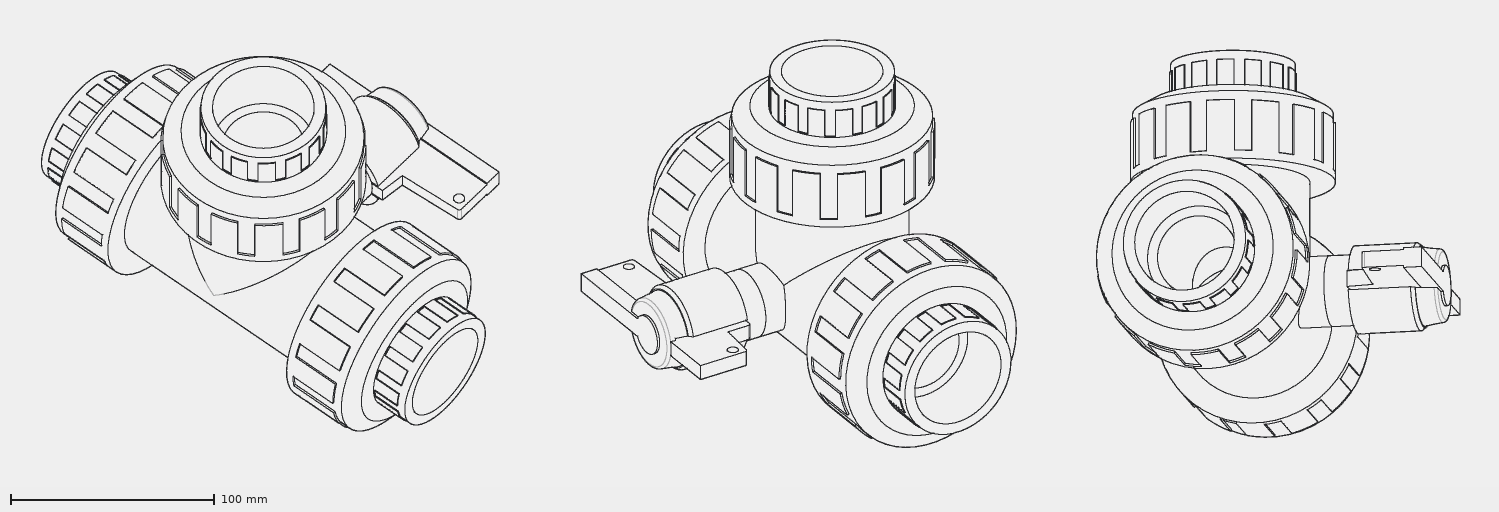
import cadquery as cq
import math

TUBE_DIA = 75.75
BORE_DIA = 40.0
PORT_REACH = 117.0
PORT_ANGLES = (-90, 0, 90)

NUT_DIA = 101.0
NUT_ROOT_DIA = 98.98
NUT_FACE_DIA = 81.0
NUT_START = 57.5
NUT_SLOT_START = 61.7
NUT_RIB_END = 87.3
NUT_CHAMFER_START = 92.0
NUT_END = 97.3

SOCKET_DIA = 62.5
SOCKET_ROOT_DIA = 61.5
SOCKET_BORE_DIA = 50.0
SOCKET_DEPTH = 31.0
SOCKET_COLLAR_WIDTH = 0.6
SOCKET_LIP_WIDTH = 4.5
SOCKET_SLOT_START = NUT_END + SOCKET_COLLAR_WIDTH
SOCKET_RIB_END = PORT_REACH - SOCKET_LIP_WIDTH

RIB_COUNT = 14
RIB_PITCH = 360.0 / RIB_COUNT
RIB_ANGLE = 16.0
RIB_SINK = 1.0
RIB_PHASE = 4.75

BONNET_DIA = 35.0
BONNET_TOP = 49.3
STEM_DIA = 34.98
STEM_TOP = 78.0
KNOB_DIA = 43.5
KNOB_BOTTOM = 62.3
KNOB_CHAMFER_START = 93.6
KNOB_TOP = 95.6
KNOB_TOP_DIA = 40.5
CAP_BASE_DIA = 39.2
CAP_RIM_DIA = 36.4
CAP_RIM_RADIUS = 1.5
CAP_TOP = 106.2
KNOB_SLOT_WIDTH = 10.0
KNOB_SLOT_TOP = 102.0

HANDLE_THICKNESS = 8.0
HANDLE_LEFT = -45.6
HANDLE_RIGHT = 61.0
HANDLE_TOP = 104.7
HANDLE_TIP_BOTTOM = 77.4
HANDLE_ROOT_BOTTOM = 75.6
TAB_LEFT = -24.5
TAB_RIGHT_BOTTOM = 24.0
TAB_RIGHT_TOP = 25.6
HANDLE_CORNER_RADIUS = 1.5
HANDLE_HOLE_DIA = 5.5
HANDLE_HOLE_Y = 83.0
HANDLE_HOLE_XS = (-40.8, 55.9)

RAIL_WIDTH = KNOB_SLOT_WIDTH
RAIL_BOTTOM = 98.4
RAIL_TOP = 107.5

PAD_DIA = 20.0


def cylinder(diameter, start, end):
    """Cylinder on the Z axis between two heights."""
    return cq.Workplane("XY").workplane(offset=start).circle(diameter / 2).extrude(end - start)


def ring(outer_dia, inner_dia, start, end):
    """Plain ring on the Z axis between two heights."""
    return cylinder(outer_dia, start, end).cut(cylinder(inner_dia, start, end))


def rib_sectors(reach, start, end):
    """Wedges about the Z axis, one for each grip rib."""
    half = math.radians(RIB_ANGLE / 2)
    tip = (reach * math.cos(half), reach * math.sin(half))
    wedge = (
        cq.Workplane("XY").workplane(offset=start)
        .polyline([(0, 0), (tip[0], -tip[1]), tip]).close()
        .extrude(end - start)
    )
    sectors = cq.Workplane("XY")
    for index in range(RIB_COUNT):
        angle = RIB_PHASE + index * RIB_PITCH
        sectors = sectors.add(wedge.rotate((0, 0, 0), (0, 0, 1), angle))
    return sectors.combine()


def grip_ribs(outer_dia, root_dia, start, end):
    """Raised ribs standing on a root diameter."""
    band = ring(outer_dia, root_dia - 2 * RIB_SINK, start, end)
    return band.intersect(rib_sectors(outer_dia, start, end))


def make_nut():
    core = (
        cq.Workplane("XZ")
        .moveTo(0, NUT_START)
        .lineTo(NUT_DIA / 2, NUT_START)
        .lineTo(NUT_DIA / 2, NUT_SLOT_START)
        .lineTo(NUT_ROOT_DIA / 2, NUT_SLOT_START)
        .lineTo(NUT_ROOT_DIA / 2, NUT_CHAMFER_START)
        .lineTo(NUT_FACE_DIA / 2, NUT_END)
        .lineTo(0, NUT_END)
        .close()
        .revolve(360, (0, 0, 0), (0, 1, 0))
    )
    return core.union(grip_ribs(NUT_DIA, NUT_ROOT_DIA, NUT_SLOT_START, NUT_RIB_END))


def make_socket():
    collar = cylinder(SOCKET_DIA, NUT_START, SOCKET_SLOT_START)
    core = cylinder(SOCKET_ROOT_DIA, NUT_START, PORT_REACH)
    ribs = grip_ribs(SOCKET_DIA, SOCKET_ROOT_DIA, SOCKET_SLOT_START, SOCKET_RIB_END)
    return core.union(collar).union(ribs)


def to_ports(shape):
    """Copies of a +Z shape at the -X, +Z and +X ports."""
    return [shape.rotate((0, 0, 0), (0, 1, 0), angle) for angle in PORT_ANGLES]


def make_knob():
    """Slotted barrel with a tapered cap, on the +Y axis."""
    rim_start = CAP_TOP - CAP_RIM_RADIUS
    flat_radius = CAP_RIM_DIA / 2 - CAP_RIM_RADIUS
    diagonal = CAP_RIM_RADIUS * math.sqrt(0.5)
    barrel = (
        cq.Workplane("XY")
        .moveTo(0, KNOB_BOTTOM)
        .lineTo(KNOB_DIA / 2, KNOB_BOTTOM)
        .lineTo(KNOB_DIA / 2, KNOB_CHAMFER_START)
        .lineTo(KNOB_TOP_DIA / 2, KNOB_TOP)
        .lineTo(CAP_BASE_DIA / 2, KNOB_TOP)
        .lineTo(CAP_RIM_DIA / 2, rim_start)
        .threePointArc((flat_radius + diagonal, rim_start + diagonal), (flat_radius, CAP_TOP))
        .lineTo(0, CAP_TOP)
        .close()
        .revolve(360, (0, 0, 0), (0, 1, 0))
    )
    slot_height = KNOB_SLOT_TOP - KNOB_BOTTOM
    slot = (
        cq.Workplane("XY")
        .box(KNOB_DIA, slot_height, KNOB_SLOT_WIDTH)
        .translate((0, KNOB_BOTTOM + slot_height / 2, 0))
    )
    return barrel.cut(slot)


def along_y(shape):
    """Turn a +Z shape onto the +Y axis."""
    return shape.rotate((0, 0, 0), (1, 0, 0), -90)


def make_stem():
    bonnet = cylinder(BONNET_DIA, 0, BONNET_TOP)
    stem = cylinder(STEM_DIA, 0, STEM_TOP)
    return along_y(bonnet.union(stem))


def make_pad():
    return along_y(cylinder(PAD_DIA, KNOB_SLOT_TOP, RAIL_TOP))


def make_handle():
    """Flat lever with a tab reaching down both sides of the stem."""
    outline = [
        (HANDLE_LEFT, HANDLE_TOP),
        (HANDLE_LEFT, HANDLE_TIP_BOTTOM),
        (TAB_LEFT, HANDLE_ROOT_BOTTOM),
        (TAB_LEFT, KNOB_BOTTOM),
        (TAB_RIGHT_BOTTOM, KNOB_BOTTOM),
        (TAB_RIGHT_TOP, HANDLE_ROOT_BOTTOM),
        (HANDLE_RIGHT, HANDLE_TIP_BOTTOM),
        (HANDLE_RIGHT, HANDLE_TOP),
    ]
    plate = (
        cq.Workplane("XY").workplane(offset=-HANDLE_THICKNESS / 2)
        .polyline(outline).close()
        .extrude(HANDLE_THICKNESS)
    )
    rounded_corners = [
        (HANDLE_LEFT, HANDLE_TIP_BOTTOM),
        (TAB_LEFT, KNOB_BOTTOM),
        (HANDLE_RIGHT, HANDLE_TIP_BOTTOM),
    ]
    for x, y in rounded_corners:
        plate = plate.edges(cq.NearestToPointSelector((x, y, 0))).fillet(HANDLE_CORNER_RADIUS)
    hole_points = [(x, HANDLE_HOLE_Y) for x in HANDLE_HOLE_XS]
    holes = (
        cq.Workplane("XY").workplane(offset=-HANDLE_THICKNESS)
        .pushPoints(hole_points).circle(HANDLE_HOLE_DIA / 2)
        .extrude(2 * HANDLE_THICKNESS)
    )
    return plate.cut(holes)


def make_rail():
    """Rail from the knob axis to the right-hand tip of the handle."""
    height = RAIL_TOP - RAIL_BOTTOM
    return (
        cq.Workplane("XY")
        .box(HANDLE_RIGHT, height, RAIL_WIDTH)
        .translate((HANDLE_RIGHT / 2, RAIL_BOTTOM + height / 2, 0))
    )


def make_port():
    """Tee arm with its union nut and socket, on the +Z axis."""
    arm = cylinder(TUBE_DIA, 0, NUT_START)
    return arm.union(make_nut()).union(make_socket())


def make_passage():
    """Flow bore from the tee centre, widening into the pipe socket."""
    bore = cylinder(BORE_DIA, 0, PORT_REACH)
    pipe_socket = cylinder(SOCKET_BORE_DIA, PORT_REACH - SOCKET_DEPTH, PORT_REACH)
    return bore.union(pipe_socket)


result = make_stem()
for port in to_ports(make_port()):
    result = result.union(port)
for passage in to_ports(make_passage()):
    result = result.cut(passage)
for part in (make_knob(), make_pad(), make_handle(), make_rail()):
    result = result.union(part)